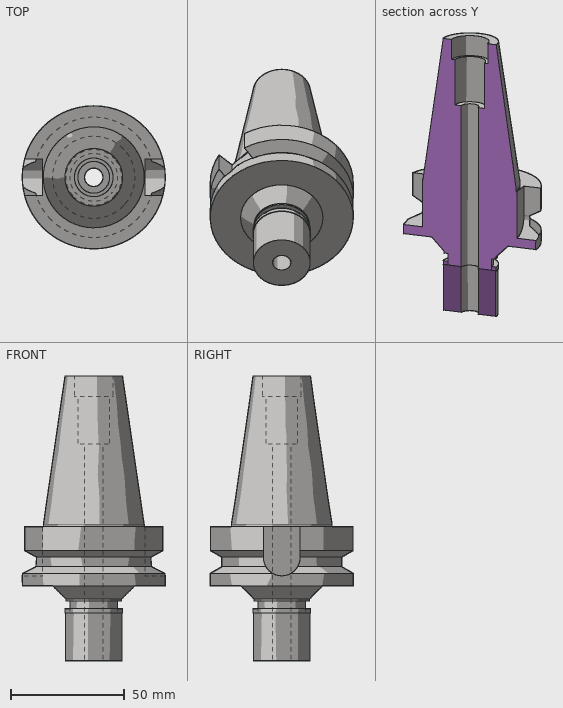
import cadquery as cq
import math


gauge_radius = 44.45 / 2
taper_length = 65.4
taper_ratio = 7 / 24
shank_end_radius = gauge_radius - taper_length * taper_ratio / 2

flange_radius = 63 / 2
flange_top_z = -1.0
flange_bottom_z = -27.0
groove_root_radius = 26.5
groove_centre_z = -16.5
groove_root_width = 4.2
groove_flank_angle = 30
flank_height = (flange_radius - groove_root_radius) * math.tan(math.radians(groove_flank_angle))
root_top_z = groove_centre_z + groove_root_width / 2
root_bottom_z = groove_centre_z - groove_root_width / 2
groove_top_z = root_top_z + flank_height
groove_bottom_z = root_bottom_z - flank_height

slot_width = 16.1
slot_floor_distance = 22.5
slot_bottom_z = -22.6

nose_top_radius = 18.1
nose_rim_radius = 12.25
nose_rim_top_z = -32.8
nose_rim_bottom_z = -33.7
neck_radius = 10.5

ring_radius = 12.7
ring_top_z = -37.0
nut_radius = 12.5
nut_top_z = -39.0
nut_bottom_z = -60.0

through_radius = 4.0
counterbore_radius = 8.5
counterbore_depth = 9.2
thread_bore_radius = 7.0
thread_bore_depth = 30.0


def cylinder(radius, bottom_z, top_z):
    return cq.Workplane("XY").workplane(offset=bottom_z).circle(radius).extrude(top_z - bottom_z)


def tube(outer_radius, inner_radius, bottom_z, top_z):
    return cylinder(outer_radius, bottom_z, top_z).cut(cylinder(inner_radius, bottom_z, top_z))


def drive_slot(side):
    """Cutter for a round-ended slot, open at the top, on the +X (side = 1) or -X (side = -1) side."""
    slot_radius = slot_width / 2
    arc_centre_z = slot_bottom_z + slot_radius
    return (
        cq.Workplane("YZ", origin=(side * slot_floor_distance, 0, 0))
        .moveTo(-slot_radius, 0)
        .lineTo(-slot_radius, arc_centre_z)
        .threePointArc((0, slot_bottom_z), (slot_radius, arc_centre_z))
        .lineTo(slot_radius, 0)
        .close()
        .extrude(side * flange_radius)
    )


def make_holder():
    profile = [
        (0, taper_length),
        (shank_end_radius, taper_length),
        (gauge_radius, 0),
        (gauge_radius, flange_top_z),
        (flange_radius, flange_top_z),
        (flange_radius, groove_top_z),
        (groove_root_radius, root_top_z),
        (groove_root_radius, root_bottom_z),
        (flange_radius, groove_bottom_z),
        (flange_radius, flange_bottom_z),
        (nose_top_radius, flange_bottom_z),
        (nose_rim_radius, nose_rim_top_z),
        (nose_rim_radius, nose_rim_bottom_z),
        (neck_radius, nose_rim_bottom_z),
        (neck_radius, nut_top_z),
        (0, nut_top_z),
    ]
    holder = cq.Workplane("XZ").polyline(profile).close().revolve(360, (0, 0), (0, 1))
    for side in (-1, 1):
        holder = holder.cut(drive_slot(side))
    holder = holder.cut(cylinder(counterbore_radius, taper_length - counterbore_depth, taper_length))
    holder = holder.cut(cylinder(thread_bore_radius, taper_length - thread_bore_depth, taper_length))
    return holder.cut(cylinder(through_radius, nut_top_z, taper_length))


def make_ring():
    """Ring around the lower end of the neck, resting on the nut."""
    return tube(ring_radius, neck_radius, nut_top_z, ring_top_z)


def make_nut():
    """Plain round nut that meets the end of the neck and the ring."""
    return tube(nut_radius, through_radius, nut_bottom_z, nut_top_z)


holder = make_holder()
ring = make_ring()
nut = make_nut()

result = cq.Compound.makeCompound([holder.val(), ring.val(), nut.val()])